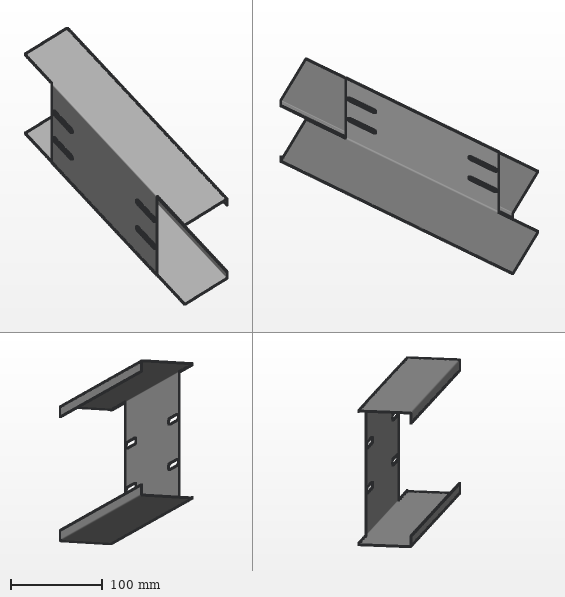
import cadquery as cq

length = 288.0
depth = 60.0
height = 150.0
sheet = 1.0
inner_bend = 1.0
lip_height = 12.0
web_length = 190.0
slot_length = 35.0
slot_width = 7.0
slot_pitch_x = 150.0
slot_pitch_z = 50.0

outer_bend = inner_bend + sheet
end_notch = (length - web_length) / 2


def rounded_bar(bar_depth, bar_height, bend_radius):
    """Bar along X with rounded long edges, centred on the origin."""
    return cq.Workplane("XY").box(length, bar_depth, bar_height).edges("|X").fillet(bend_radius)


def lipped_channel():
    """Bent-sheet channel: web at -Y, flanges at +Z and -Z, lips turned inward at +Y."""
    outside = rounded_bar(depth, height, outer_bend)
    inside = rounded_bar(depth - 2 * sheet, height - 2 * sheet, inner_bend)
    lip_gap = (
        cq.Workplane("XY")
        .box(length, depth / 2, height - 2 * lip_height, centered=(True, False, True))
    )
    return outside.cut(inside).cut(lip_gap)


def web_end_notches():
    """Blocks that remove the full-height web, one sheet thick, at both ends."""
    return (
        cq.Workplane("XY")
        .pushPoints([(side * (length - end_notch) / 2, (sheet - depth) / 2) for side in (-1, 1)])
        .box(end_notch, sheet, height)
    )


def web_slots():
    """Four horizontal round-ended slots through the web only."""
    return (
        cq.Workplane("XZ", origin=(0, sheet - depth / 2, 0))
        .rarray(slot_pitch_x, slot_pitch_z, 2, 2)
        .slot2D(slot_length, slot_width)
        .extrude(sheet)
    )


result = lipped_channel().cut(web_end_notches()).cut(web_slots())